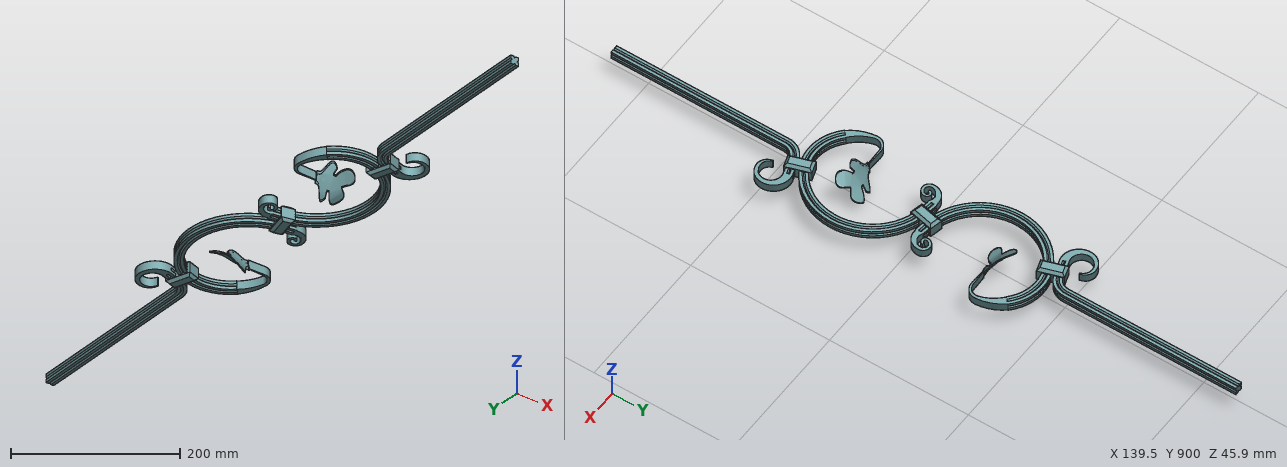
import cadquery as cq
import math


TOTAL_LENGTH = 900.0
BAR_SIZE = 12.0
HALF_BAR = BAR_SIZE / 2
FLUTE_HALF_WIDTH = 2.0
FLUTE_DEPTH = 2.0

STRAIGHT_END_Y = 202.0
BEND_RADIUS = 23.0
BEND_TURN = -72
END_COLLAR_RUN = 23.0
HOOK_RADII = (20.0, 18.0, 13.5)
HOOK_TURNS = (-108, -90, -80)
HOOK_THICKNESSES = (12.0, 6.0, 4.5, 2.0)

SCROLL_START = (22.0, 5.85, 172.2)
MIDDLE_COLLAR_RUN = 15.0
LARGE_RADIUS = 82.0
LARGE_TURN = -146.2
SMALL_RADIUS = 59.0
SMALL_FLUTED_TURN = -71
SMALL_STRAP_TURN = -35
STRAP_END_RADIUS = 14.0
STRAP_END_TURN = -100
STRAP_RUN = 23.0
STRAP_THICKNESSES = (11.0, 4.5, 3.0, 1.35)

CURL_RUN = 4.5
CURL_RADII = (15.0, 8.0, 3.8)
CURL_TURNS = (97.8, 180, 180)
CURL_THICKNESSES = (12.0, 9.0, 4.5, 4.0, 4.0)

LEAF_THICKNESS = 1.4
LEAF_LENGTH = 49.5
LEAF_TIP_TILT = 27
LEAF_ROOT_TILT = 72.7
LEAF_DROP = 1.35
LEAF_ROOT_HALF_WIDTH = 2.0
LEAF_NECK = (-4.0, 2.25)
LEAF_FLAP = [(-10.0, 7.0), (-15.0, 13.0), (-22.5, 12.0)]
LEAF_SIDE_NOTCH = [(-21.0, 6.0), (-24.0, 6.0)]
LEAF_LOBE = [(-31.0, 14.0), (-40.0, 19.0), (-48.0, 13.5), (-44.0, 4.5)]
LEAF_TIP_NOTCH = (-38.0, 0)
LEAF_BLANK_WIDTH = 63.0

COLLAR_LENGTH = 18.0
COLLAR_WIDTH = 35.0
COLLAR_HEIGHT = 22.0
COLLAR_CHAMFER = 4.0
END_COLLAR_CENTRE = (-20.0, 168.0)
END_COLLAR_ANGLE = 18
MIDDLE_COLLAR_ANGLE = -13



def line(length):
    return (length, 0)


def arc(radius, turn):
    return (radius * math.radians(abs(turn)), turn)


def advance(pose, step):
    """The pose reached from another pose by one straight or circular step."""
    x, y, heading = pose
    length, turn = step
    half_turn = math.radians(turn) / 2
    chord = length * math.sin(half_turn) / half_turn if turn else length
    direction = math.radians(heading) + half_turn
    return (x + chord * math.cos(direction), y + chord * math.sin(direction), heading + turn)


def middle(pose, step):
    return advance(pose, (step[0] / 2, step[1] / 2))


def end_of(pose, steps):
    for step in steps:
        pose = advance(pose, step)
    return pose


def beside(pose, offset):
    """The point at a distance to the left of a pose."""
    x, y, heading = pose
    normal = math.radians(heading + 90)
    return (x + offset * math.cos(normal), y + offset * math.sin(normal))


def fluted_section(pose):
    """Square section with a V-shaped flute along the middle of each side."""
    side = [
        (HALF_BAR, -HALF_BAR),
        (HALF_BAR, -FLUTE_HALF_WIDTH),
        (HALF_BAR - FLUTE_DEPTH, 0),
        (HALF_BAR, FLUTE_HALF_WIDTH),
    ]
    points = []
    for _ in range(4):
        points += side
        side = [(-v, u) for u, v in side]
    x, y, heading = pose
    angle = math.radians(heading)
    plane = cq.Plane(
        origin=(x, y, 0),
        xDir=(-math.sin(angle), math.cos(angle), 0),
        normal=(math.cos(angle), math.sin(angle), 0),
    )
    return cq.Workplane(plane).polyline(points).close()


def fluted_bar(pose, steps):
    section = fluted_section(pose)
    path = cq.Workplane("XY").moveTo(*pose[:2])
    for step in steps:
        end = advance(pose, step)
        if step[1]:
            path = path.threePointArc(middle(pose, step)[:2], end[:2])
        else:
            path = path.lineTo(*end[:2])
        pose = end
    return section.sweep(path)


def flat_strap(pose, steps, thicknesses):
    """Plain strap as high as the bar, its thickness changing evenly along each step."""
    strap = None
    for step, first, last in zip(steps, thicknesses, thicknesses[1:]):
        centre = middle(pose, step)
        end = advance(pose, step)
        half_first = first / 2
        half_last = last / 2
        half_centre = (half_first + half_last) / 2
        outline = cq.Workplane("XY", origin=(0, 0, -HALF_BAR)).moveTo(*beside(pose, half_first))
        if step[1]:
            outline = (
                outline.threePointArc(beside(centre, half_centre), beside(end, half_last))
                .lineTo(*beside(end, -half_last))
                .threePointArc(beside(centre, -half_centre), beside(pose, -half_first))
            )
        else:
            outline = (
                outline.lineTo(*beside(end, half_last))
                .lineTo(*beside(end, -half_last))
                .lineTo(*beside(pose, -half_first))
            )
        piece = outline.close().extrude(BAR_SIZE)
        strap = strap.union(piece) if strap else piece
        pose = end
    return strap



def hooked_bar():
    """Straight bar that bends into the end collar and leaves it as a thinning hook."""
    start = (0, TOTAL_LENGTH / 2, -90)
    bar_steps = [
        line(TOTAL_LENGTH / 2 - STRAIGHT_END_Y),
        arc(BEND_RADIUS, BEND_TURN),
        line(END_COLLAR_RUN),
    ]
    hook_steps = [arc(radius, turn) for radius, turn in zip(HOOK_RADII, HOOK_TURNS)]
    hook = flat_strap(end_of(start, bar_steps), hook_steps, HOOK_THICKNESSES)
    return fluted_bar(start, bar_steps).union(hook)


def leaf(root):
    """Leaf with two flaps and two lobes, its root at the given (x, y) and its tip toward -X."""

    def half(sign):
        def flip(points):
            return [(x, sign * y) for x, y in points]

        return (
            cq.Workplane("XY", origin=(*root, -LEAF_BLANK_WIDTH / 2))
            .lineTo(0, sign * LEAF_ROOT_HALF_WIDTH)
            .lineTo(*flip([LEAF_NECK])[0])
            .spline(flip(LEAF_FLAP), includeCurrent=True)
            .polyline(flip(LEAF_SIDE_NOTCH), includeCurrent=True)
            .spline(flip(LEAF_LOBE), includeCurrent=True)
            .lineTo(*LEAF_TIP_NOTCH)
            .close()
            .extrude(LEAF_BLANK_WIDTH)
        )

    blank = (
        cq.Workplane("YZ", origin=(root[0] - LEAF_LENGTH, root[1], -LEAF_DROP))
        .transformed(rotate=(0, 0, LEAF_TIP_TILT))
        .rect(LEAF_BLANK_WIDTH, LEAF_THICKNESS)
        .twistExtrude(LEAF_LENGTH, LEAF_ROOT_TILT - LEAF_TIP_TILT)
    )
    return blank.intersect(half(1).union(half(-1)))


def c_scroll():
    """C-shaped fluted bar with a small curl at one end and a strap with a leaf at the other."""
    bar_steps = [
        line(MIDDLE_COLLAR_RUN),
        arc(LARGE_RADIUS, LARGE_TURN),
        arc(SMALL_RADIUS, SMALL_FLUTED_TURN),
    ]
    strap_steps = [
        arc(SMALL_RADIUS, SMALL_STRAP_TURN),
        arc(STRAP_END_RADIUS, STRAP_END_TURN),
        line(STRAP_RUN),
    ]
    strap_start = end_of(SCROLL_START, bar_steps)
    strap_end = end_of(strap_start, strap_steps)
    strap = flat_strap(strap_start, strap_steps, STRAP_THICKNESSES)

    x, y, heading = SCROLL_START
    curl_steps = [line(CURL_RUN)] + [arc(radius, turn) for radius, turn in zip(CURL_RADII, CURL_TURNS)]
    curl = flat_strap((x, y, heading - 180), curl_steps, CURL_THICKNESSES)

    bar = fluted_bar(SCROLL_START, bar_steps)
    return bar.union(curl).union(strap).union(leaf(strap_end[:2]))


def collar(centre, angle):
    """Chamfered block, before the bars' holes are cut."""
    return (
        cq.Workplane("XY")
        .box(COLLAR_LENGTH, COLLAR_WIDTH, COLLAR_HEIGHT)
        .faces("|Z")
        .chamfer(COLLAR_CHAMFER)
        .rotate((0, 0, 0), (0, 0, 1), angle)
        .translate((*centre, 0))
    )


def turned(body, angle):
    return body.rotate((0, 0, 0), (0, 0, 1), angle)


hooked_bars = [turned(hooked_bar(), angle) for angle in (0, 180)]
c_scrolls = [turned(c_scroll(), angle) for angle in (0, 180)]
collars = [turned(collar(END_COLLAR_CENTRE, END_COLLAR_ANGLE), angle) for angle in (0, 180)]
collars.append(collar((0, 0), MIDDLE_COLLAR_ANGLE))

for bar in hooked_bars + c_scrolls:
    collars = [block.cut(bar) for block in collars]

bodies = hooked_bars + c_scrolls + collars
result = cq.Compound.makeCompound([body.solids().val() for body in bodies])